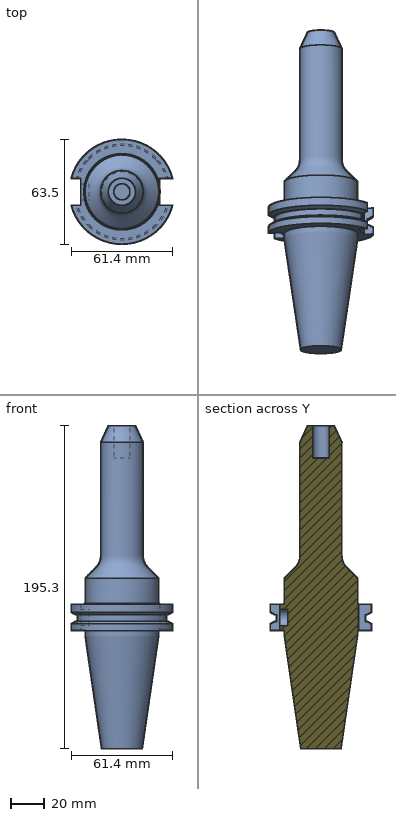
import cadquery as cq
import math

taper_length = 68.3
nose_height = 127.0
gauge_radius = 22.3
taper_end_radius = 12.3

flange_radius = 31.73
flange_bottom = 3.1
flange_top = 19.1
flange_middle = (flange_bottom + flange_top) / 2
groove_radius = 28.1
groove_mouth_width = 7.0
groove_wall_height = 1.5
groove_wall_angle = math.radians(30)
groove_shoulder_radius = flange_radius - groove_wall_height / math.tan(groove_wall_angle)
groove_low = 7.2
groove_high = groove_low + groove_mouth_width

collar_radius = gauge_radius
collar_top = 34.8
root_cone_width = 0.8
root_cone_height = 0.5
shank_radius = 12.9
blend_radius = 9.8
shoulder_angle = math.radians(45)
blend_low_radius = shank_radius + blend_radius * (1 - math.cos(shoulder_angle))
blend_low = collar_top + (collar_radius - blend_low_radius) * math.tan(shoulder_angle)
blend_high = blend_low + blend_radius * math.sin(shoulder_angle)
blend_mid_radius = shank_radius + blend_radius * (1 - math.cos(shoulder_angle / 2))
blend_mid = blend_high - blend_radius * math.sin(shoulder_angle / 2)

nose_length = 10.2
nose_radius = 8.2
bore_radius = 4.9
bore_depth = 19.5

slot_width = 16.0
left_slot_floor = 25.0
right_slot_floor = 22.8
drive_hole_radius = 4.9
drive_hole_depth = 4.9


def revolved_body():
    """Taper, grooved flange, collar and shank as one half profile turned about Z."""
    profile = (
        cq.Workplane("XZ")
        .moveTo(0, -taper_length)
        .lineTo(taper_end_radius, -taper_length)
        .lineTo(gauge_radius, 0)
        .lineTo(gauge_radius, flange_bottom)
        .lineTo(flange_radius, flange_bottom)
        .lineTo(flange_radius, groove_low)
        .lineTo(groove_shoulder_radius, groove_low + groove_wall_height)
        .lineTo(groove_radius, groove_low + groove_wall_height)
        .lineTo(groove_radius, groove_high - groove_wall_height)
        .lineTo(groove_shoulder_radius, groove_high - groove_wall_height)
        .lineTo(flange_radius, groove_high)
        .lineTo(flange_radius, flange_top)
        .lineTo(collar_radius + root_cone_width, flange_top)
        .lineTo(collar_radius, flange_top + root_cone_height)
        .lineTo(collar_radius, collar_top)
        .lineTo(blend_low_radius, blend_low)
        .threePointArc((blend_mid_radius, blend_mid), (shank_radius, blend_high))
        .lineTo(shank_radius, nose_height - nose_length)
        .lineTo(nose_radius, nose_height)
        .lineTo(0, nose_height)
        .close()
    )
    return profile.revolve(360, (0, 0), (0, 1))


def drive_slot(side, floor):
    """Cutter for a flange slot; side is -1 for -X and +1 for +X."""
    slot_depth = flange_radius - floor
    return cq.Workplane("XY").box(slot_depth, slot_width, flange_top - flange_bottom).translate(
        (side * (floor + slot_depth / 2), 0, flange_middle)
    )


nose_bore = cq.Workplane("XY", origin=(0, 0, nose_height)).circle(bore_radius).extrude(-bore_depth)
drive_hole = (
    cq.Workplane("YZ", origin=(-left_slot_floor, 0, flange_middle))
    .circle(drive_hole_radius)
    .extrude(drive_hole_depth)
)

result = (
    revolved_body()
    .cut(drive_slot(-1, left_slot_floor))
    .cut(drive_slot(1, right_slot_floor))
    .cut(nose_bore)
    .cut(drive_hole)
)